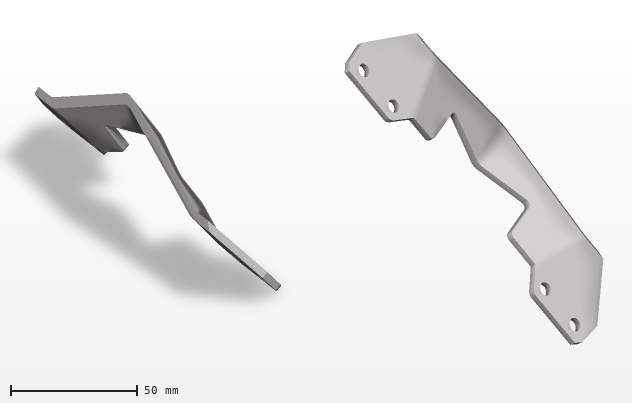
import cadquery as cq
import math


thickness = 3.0
flange_tilt = 52.2
panel_slope = 0.35
fold_start = 36.5
fold_spread = 0.3
ridge_radius = 6.4
fold_inner_radius = 6.4
fold_outer_radius = fold_inner_radius + thickness

half_width = 75.6
bottom_outer = 72.6
bottom_inner = 46.0
chamfer_x = 74.9
chamfer_height = 3.2
widest_height = 14.5
shoulder_x = 58.4
fold_corner_x = 39.2
fold_corner_height = 10.1
leg_height = 14.8
inner_corner_radius = 3.0

edge_lean = 5.9
top_edge_height = 42.0
notch_half_width = 25.0
notch_height = 35.5
notch_radius = 2.4
leg_radius = 3.0

hole_diameter = 5.5
hole_height = 6.0
hole_x = (48.9, 68.0)

large = 302.5
outline_top = 90.8


def half_space(point, normal):
    """Large block starting at point and extending along normal."""
    plane = cq.Plane(origin=point, xDir=(0, normal[2], -normal[1]), normal=normal)
    return cq.Workplane(plane).rect(2 * large, 2 * large).extrude(large)


def below_surface(depth, fold_radius):
    """Material below the bent surface lying depth under the upper face."""
    wedge = None
    for side in (-1, 1):
        normal = cq.Vector(-side * panel_slope, panel_slope * fold_spread, 1).normalized()
        point = cq.Vector(side * fold_start, 0, 0) + normal * depth
        panel = half_space(point.toTuple(), normal.toTuple())
        wedge = panel if wedge is None else wedge.intersect(panel)
    limits = cq.Workplane().box(large, large / 2, large)
    wedge = wedge.intersect(limits)
    ridge_height = panel_slope * fold_start
    ridge = cq.selectors.NearestToPointSelector((0, 0, depth - ridge_height))
    wedge = wedge.edges(ridge).fillet(ridge_radius)
    flange = half_space((0, 0, depth), (0, 0, 1)).intersect(limits)
    body = wedge.union(flange)
    for side in (-1, 1):
        fold = cq.selectors.NearestToPointSelector((side * fold_start, 0, depth))
        body = body.edges(fold).fillet(fold_radius)
    return body


def outline():
    """Symmetric sheet outline as a prism square to the flanges."""
    right = [
        (notch_half_width, leg_height),
        (fold_corner_x, fold_corner_height),
        (bottom_inner, 0),
        (bottom_outer, 0),
        (chamfer_x, chamfer_height),
        (half_width, widest_height),
        (shoulder_x, top_edge_height),
        (shoulder_x, outline_top),
    ]
    left = [(-x, y) for x, y in reversed(right)]
    prism = cq.Workplane().workplane(offset=-large / 2).polyline(right + left).close().extrude(large)
    for side in (-1, 1):
        corner = cq.selectors.NearestToPointSelector((side * bottom_inner, 0, 0))
        prism = prism.edges(corner).fillet(inner_corner_radius)
    return prism


def notch():
    """Central notch whose end wall is square to the ridge."""
    ridge_angle = math.degrees(math.atan(panel_slope * fold_spread))
    block = (
        cq.Workplane()
        .box(2 * notch_half_width, large, large)
        .translate((0, -large / 2, 0))
        .edges("|Z and >Y")
        .fillet(notch_radius)
    )
    return block.rotate((0, 0, 0), (1, 0, 0), -ridge_angle).translate((0, notch_height, 0))


def blank():
    """Outline with the notch and rounded leg ends."""
    body = outline().cut(notch())
    for side in (-1, 1):
        corner = cq.selectors.NearestToPointSelector((side * notch_half_width, leg_height, 0))
        body = body.edges("|Z").edges(corner).fillet(leg_radius)
    return body


def above_top_edge():
    """Everything beyond the leaning plane that trims the top edge."""
    angle = math.radians(90 - flange_tilt + edge_lean)
    return half_space((0, top_edge_height, 0), (0, math.sin(angle), math.cos(angle)))


def holes():
    points = [(side * x, hole_height) for side in (-1, 1) for x in hole_x]
    return cq.Workplane().pushPoints(points).circle(hole_diameter / 2).extrude(large / 2, both=True)


sheet = below_surface(0, fold_inner_radius).cut(below_surface(thickness, fold_outer_radius))
flat_part = sheet.intersect(blank()).cut(above_top_edge()).cut(holes())

result = flat_part.rotate((0, 0, 0), (1, 0, 0), 180 - flange_tilt)